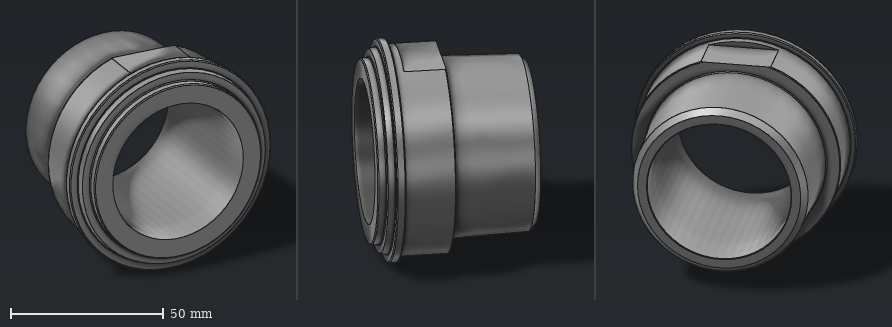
import cadquery as cq


total_length = 54.5
body_start = 29.1
flange_start = 45.95
flange_end = 49.0
seat_end = 51.4

bore_radius = 48.0 / 2
spigot_tip_radius = 29.3
body_radius = 70.0 / 2
flange_radius = 74 / 2
seat_large_radius = 34.1
seat_small_radius = 33.7
end_ring_radius = 61.5 / 2

taper_slope = 1 / 32

tip_chamfer = 2.1
spigot_root_chamfer = 0.4
edge_chamfer = 0.4
body_edge_chamfer = 0.3
corner_chamfer = 0.2
bore_chamfer = 0.2

flat_height = 33.0
flat_end = 43.1


def turned_body():
    spigot_end = body_start - spigot_root_chamfer
    spigot_root_radius = spigot_tip_radius + taper_slope * (spigot_end - tip_chamfer)
    profile = [
        (0, bore_radius + bore_chamfer),
        (0, spigot_tip_radius - tip_chamfer),
        (tip_chamfer, spigot_tip_radius),
        (spigot_end, spigot_root_radius),
        (body_start, spigot_root_radius + spigot_root_chamfer),
        (body_start, body_radius - body_edge_chamfer),
        (body_start + body_edge_chamfer, body_radius),
        (flange_start - corner_chamfer, body_radius),
        (flange_start, body_radius + corner_chamfer),
        (flange_start, flange_radius - edge_chamfer),
        (flange_start + edge_chamfer, flange_radius),
        (flange_end - edge_chamfer, flange_radius),
        (flange_end, flange_radius - edge_chamfer),
        (flange_end, seat_large_radius + corner_chamfer),
        (flange_end + corner_chamfer, seat_large_radius),
        (seat_end, seat_small_radius),
        (seat_end, end_ring_radius + edge_chamfer),
        (seat_end + edge_chamfer, end_ring_radius),
        (total_length - edge_chamfer, end_ring_radius),
        (total_length, end_ring_radius - edge_chamfer),
        (total_length, bore_radius),
        (bore_chamfer, bore_radius),
    ]
    return cq.Workplane("XY").polyline(profile).close().revolve(360, (0, 0, 0), (1, 0, 0))


def flat_cutter(side):
    """Block above (side = 1) or below (side = -1) the body, down to the flat."""
    depth = flange_radius - flat_height
    return (
        cq.Workplane("XY")
        .box(flat_end - body_start, 2 * flange_radius, depth)
        .translate(((body_start + flat_end) / 2, 0, side * (flat_height + depth / 2)))
    )


result = turned_body()
for side in (1, -1):
    result = result.cut(flat_cutter(side))